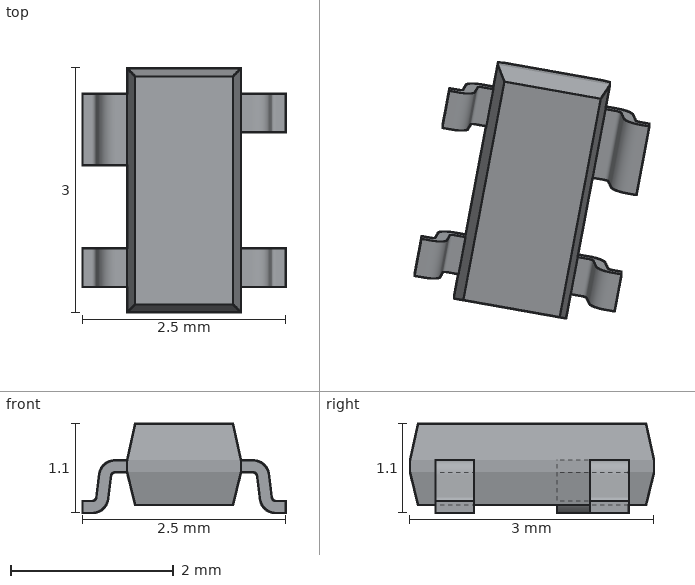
import cadquery as cq
import math

housing_length = 3.0
housing_width = 1.4
taper_inset = 0.1
housing_bottom = 0.1
housing_top = 1.1

lead_span = 2.5
lead_thickness = 0.15
lead_top = 0.65
lead_bottom = 0.0
outer_bend_radius = 0.2
inner_bend_radius = outer_bend_radius - lead_thickness
foot_flat = 0.12
leg_tilt = math.radians(7.0)
lead_edge = 1.188
narrow_lead = 0.477
wide_lead = 0.882

belt_bottom = lead_top - lead_thickness
belt_top = lead_top

lead_places = [
    (-1, lead_edge - wide_lead, wide_lead),
    (-1, -lead_edge, narrow_lead),
    (1, lead_edge - narrow_lead, narrow_lead),
    (1, -lead_edge, narrow_lead),
]


def tapered_block(start_height, end_height):
    """Block from the belt outline to a face inset equally on all sides."""
    return (
        cq.Workplane("XY")
        .workplane(offset=start_height)
        .rect(housing_width, housing_length)
        .workplane(offset=end_height - start_height)
        .rect(housing_width - 2 * taper_inset, housing_length - 2 * taper_inset)
        .loft(ruled=True)
    )


def make_housing():
    belt = (
        cq.Workplane("XY")
        .workplane(offset=belt_bottom)
        .rect(housing_width, housing_length)
        .extrude(belt_top - belt_bottom)
    )
    upper = tapered_block(belt_top, housing_top)
    lower = tapered_block(belt_bottom, housing_bottom)
    return belt.union(upper).union(lower)


def make_lead(side, start_y, width):
    """Bent strip from the housing side down to a flat foot."""
    tip = lead_span / 2
    root = housing_width / 2

    foot_x = tip - foot_flat
    foot_z = lead_bottom + outer_bend_radius
    shoulder_z = lead_top - outer_bend_radius
    rise = shoulder_z - foot_z
    bend_sum = outer_bend_radius + inner_bend_radius
    shoulder_x = foot_x - (bend_sum + rise * math.sin(leg_tilt)) / math.cos(leg_tilt)

    bend_middle = (leg_tilt + math.pi / 2) / 2

    def on_shoulder(radius, angle):
        x = shoulder_x + radius * math.cos(angle)
        return side * x, shoulder_z + radius * math.sin(angle)

    def on_foot(radius, angle):
        x = foot_x - radius * math.cos(angle)
        return side * x, foot_z - radius * math.sin(angle)

    profile = (
        cq.Workplane("XZ")
        .moveTo(side * root, lead_top)
        .lineTo(side * shoulder_x, lead_top)
        .threePointArc(
            on_shoulder(outer_bend_radius, bend_middle),
            on_shoulder(outer_bend_radius, leg_tilt),
        )
        .lineTo(*on_foot(inner_bend_radius, leg_tilt))
        .threePointArc(
            on_foot(inner_bend_radius, bend_middle),
            on_foot(inner_bend_radius, math.pi / 2),
        )
        .lineTo(side * tip, lead_bottom + lead_thickness)
        .lineTo(side * tip, lead_bottom)
        .lineTo(side * foot_x, lead_bottom)
        .threePointArc(
            on_foot(outer_bend_radius, bend_middle),
            on_foot(outer_bend_radius, leg_tilt),
        )
        .lineTo(*on_shoulder(inner_bend_radius, leg_tilt))
        .threePointArc(
            on_shoulder(inner_bend_radius, bend_middle),
            on_shoulder(inner_bend_radius, math.pi / 2),
        )
        .lineTo(side * root, belt_bottom)
        .close()
    )
    return profile.extrude(-width).translate((0, start_y, 0))


housing = make_housing()
leads = [make_lead(side, start_y, width).val() for side, start_y, width in lead_places]

result = cq.Compound.makeCompound([housing.val(), *leads])